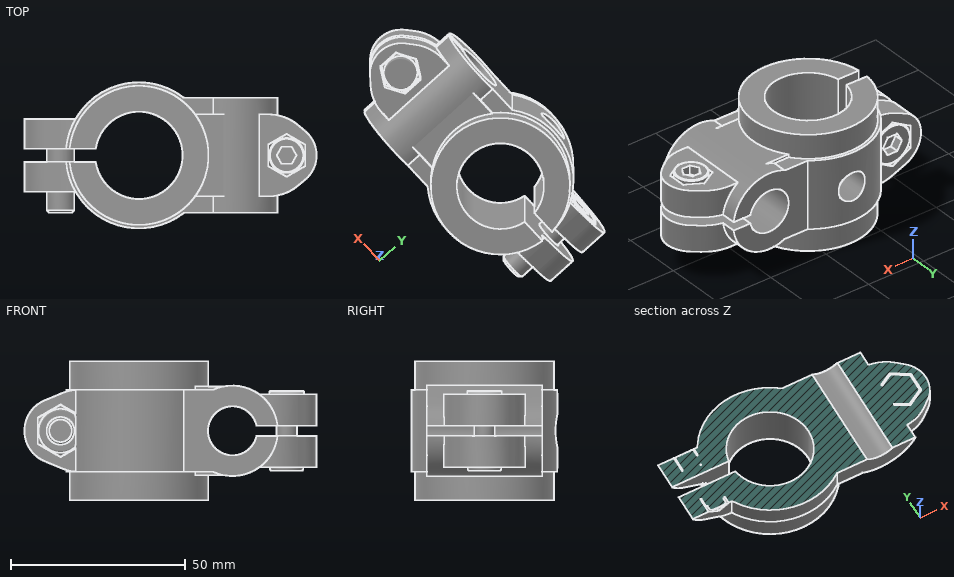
import cadquery as cq
import math

BORE_DIAMETER = 25.0
SLEEVE_DIAMETER = 40.0
SLEEVE_HEIGHT = 40.0
BAND_DIAMETER = 42.0
BAND_HEIGHT = 23.5
SLEEVE_SLIT = 3.8
BACK_HOLE_DIAMETER = 9.6

BARREL_X = 26.9
BARREL_DIAMETER = 26.0
BARREL_BORE = 14.0
BARREL_LENGTH = 33.1
BARREL_SLIT = 2.85
PAD_WIDTH = 23.5
PAD_HEIGHT = 25.5

EAR_THICKNESS = 21.0
EAR_ROOT_HALF_WIDTH = BAND_HEIGHT / 2
SLEEVE_EAR_REACH = 32.9
SLEEVE_EAR_TIP_RADIUS = 9.5
SLEEVE_EAR_BLEND_RADIUS = 12.9
SLEEVE_EAR_BLEND_X = 17.3
BARREL_EAR_REACH = 84.0 - SLEEVE_EAR_REACH
BARREL_EAR_TIP_RADIUS = 9.1
BARREL_EAR_BLEND_RADIUS = 12.9
BARREL_EAR_BLEND_X = 37.4

POCKET_DEPTH = 5.0
POCKET_FLOOR = EAR_THICKNESS / 2 - POCKET_DEPTH

SLEEVE_BOLT_X = -22.5
SLEEVE_BOLT_DIAMETER = 8.0
SLEEVE_BOLT_HOLE = 8.5
SLEEVE_BOLT_POCKET = 13.1
SLEEVE_BOLT_HEAD = 12.9
SLEEVE_NUT_HEX = 12.9
SLEEVE_NUT_COLLAR = 12.6
SLEEVE_BOLT_SOCKET = 6.0
SLEEVE_BOLT_TIP = 16.55
SLEEVE_BOLT_TIP_CHAMFER = 0.75
SLEEVE_BOLT_PROUD = 0.0
SLEEVE_HEAD_BEVEL = 0.25
SLEEVE_NUT_ROUNDING = 0.6

BARREL_BOLT_X = 42.4
BARREL_BOLT_DIAMETER = 6.0
BARREL_BOLT_HOLE = 6.6
BARREL_BOLT_POCKET = 10.7
BARREL_BOLT_HEAD = 10.0
BARREL_NUT_HEX = 10.0
BARREL_NUT_COLLAR = 9.6
BARREL_BOLT_SOCKET = 4.95
BARREL_BOLT_PROUD = 1.0
BARREL_BOLT_TIP = EAR_THICKNESS / 2 + BARREL_BOLT_PROUD
BARREL_HEAD_BEVEL = 0.25
BARREL_NUT_ROUNDING = 0.5

SOCKET_DEPTH = 3.0
NUT_COLLAR_HEIGHT = 2.0
NUT_CHAMFER_ANGLE = 30


def cylinder_along_z(diameter, height):
    return cq.Workplane("XY").circle(diameter / 2).extrude(height / 2, both=True)


def cylinder_along_y(diameter, length, x):
    return cq.Workplane("XZ").center(x, 0).circle(diameter / 2).extrude(length / 2, both=True)


def ear(plane, side, reach, tip_radius, blend_radius, blend_x):
    """Ear symmetric about X, pointing to +X (side 1) or -X (side -1), rooted at x = 0."""
    tip_center = reach - tip_radius
    blend_z = EAR_ROOT_HALF_WIDTH - blend_radius
    run = tip_center - blend_x
    spread = math.hypot(run, blend_z)
    flank_angle = math.atan2(-blend_z, run) + math.acos((blend_radius - tip_radius) / spread)

    def on_circle(center_x, center_z, radius, angle):
        return side * (center_x + radius * math.cos(angle)), center_z + radius * math.sin(angle)

    def mirrored(point):
        return point[0], -point[1]

    root = (0, EAR_ROOT_HALF_WIDTH)
    blend_start = (side * blend_x, EAR_ROOT_HALF_WIDTH)
    blend_middle = on_circle(blend_x, blend_z, blend_radius, (math.pi / 2 + flank_angle) / 2)
    blend_end = on_circle(blend_x, blend_z, blend_radius, flank_angle)
    tip_start = on_circle(tip_center, 0, tip_radius, flank_angle)
    return (
        cq.Workplane(plane)
        .moveTo(*root)
        .lineTo(*blend_start)
        .threePointArc(blend_middle, blend_end)
        .lineTo(*tip_start)
        .threePointArc((side * reach, 0), mirrored(tip_start))
        .lineTo(*mirrored(blend_end))
        .threePointArc(mirrored(blend_middle), mirrored(blend_start))
        .lineTo(*mirrored(root))
        .close()
        .extrude(EAR_THICKNESS / 2, both=True)
    )


def across_corners(across_flats):
    return across_flats / math.cos(math.pi / 6)


def hexagon(across_flats, start_z, depth):
    """Hexagonal prism along +Z with two corners on the X axis."""
    base = cq.Workplane("XY").workplane(offset=start_z)
    return base.polygon(6, across_corners(across_flats)).extrude(depth)


def quarter_turn(solid):
    return solid.rotate((0, 0, 0), (0, 0, 1), 90)


def bolt_space(hole, pocket):
    """Clearance hole along Z with a hexagonal pocket in both ear faces."""
    upper_pocket = quarter_turn(hexagon(pocket, POCKET_FLOOR, POCKET_DEPTH))
    lower_pocket = upper_pocket.mirror("XY")
    return cylinder_along_z(hole, EAR_THICKNESS).union(upper_pocket).union(lower_pocket)


def screw(diameter, head, head_bevel, socket, proud, tip, tip_chamfer=0):
    """Socket-head screw along Z, its head seated in the upper pocket and its tip at z = -tip."""
    head_height = POCKET_DEPTH + proud
    head_body = (
        cq.Workplane("XY").workplane(offset=POCKET_FLOOR).circle(head / 2).extrude(head_height)
        .faces(">Z").chamfer(head_bevel)
    )
    shank = (
        cq.Workplane("XY").workplane(offset=-tip).circle(diameter / 2).extrude(tip + POCKET_FLOOR)
    )
    if tip_chamfer > 0:
        shank = shank.faces("<Z").chamfer(tip_chamfer)
    socket_cut = hexagon(socket, POCKET_FLOOR + head_height - SOCKET_DEPTH, SOCKET_DEPTH)
    return shank.union(head_body).cut(socket_cut)


def nut(across_flats, collar, rounding, proud):
    """Lock nut seated in the lower pocket: a chamfered hexagon with a rounded collar on its end."""
    height = POCKET_DEPTH + proud
    hex_height = height - NUT_COLLAR_HEIGHT
    corner_diameter = across_corners(across_flats)
    chamfer_width = (corner_diameter - collar) / 2
    chamfer_height = chamfer_width * math.tan(math.radians(NUT_CHAMFER_ANGLE))
    corner_trim = (
        cq.Workplane("XZ")
        .moveTo(0, POCKET_FLOOR)
        .lineTo(corner_diameter / 2, POCKET_FLOOR)
        .lineTo(corner_diameter / 2, POCKET_FLOOR + hex_height - chamfer_height)
        .lineTo(collar / 2, POCKET_FLOOR + hex_height)
        .lineTo(0, POCKET_FLOOR + hex_height)
        .close()
        .revolve(360, (0, 0, 0), (0, 1, 0))
    )
    hex_body = quarter_turn(hexagon(across_flats, POCKET_FLOOR, hex_height)).intersect(corner_trim)
    collar_body = (
        cq.Workplane("XY").workplane(offset=POCKET_FLOOR).circle(collar / 2).extrude(height)
        .faces(">Z").edges().fillet(rounding)
    )
    return hex_body.union(collar_body).mirror("XY")


def on_sleeve_ear(local):
    """Turn a Z-axis fastener so that its head faces +Y, and place it on the sleeve ear."""
    return local.rotate((0, 0, 0), (1, 0, 0), -90).translate((SLEEVE_BOLT_X, 0, 0))


def on_barrel_ear(local):
    return local.translate((BARREL_BOLT_X, 0, 0))


sleeve_ear = ear(
    "XZ", -1, SLEEVE_EAR_REACH, SLEEVE_EAR_TIP_RADIUS, SLEEVE_EAR_BLEND_RADIUS, SLEEVE_EAR_BLEND_X
)
barrel_ear = ear(
    "XY", 1, BARREL_EAR_REACH, BARREL_EAR_TIP_RADIUS, BARREL_EAR_BLEND_RADIUS, BARREL_EAR_BLEND_X
)
sleeve_ear = sleeve_ear.cut(on_sleeve_ear(bolt_space(SLEEVE_BOLT_HOLE, SLEEVE_BOLT_POCKET)))
barrel_ear = barrel_ear.cut(on_barrel_ear(bolt_space(BARREL_BOLT_HOLE, BARREL_BOLT_POCKET)))

arm = cq.Workplane("XY").box(BARREL_X, BARREL_LENGTH, BAND_HEIGHT, centered=(False, True, True))
pad = cq.Workplane("XY").box(BARREL_X, PAD_WIDTH, PAD_HEIGHT, centered=(False, True, True))

body = cylinder_along_z(SLEEVE_DIAMETER, SLEEVE_HEIGHT)
body = body.union(cylinder_along_z(BAND_DIAMETER, BAND_HEIGHT))
body = body.union(cylinder_along_y(BARREL_DIAMETER, BARREL_LENGTH, BARREL_X))
body = body.union(arm).union(pad).union(sleeve_ear).union(barrel_ear)

body = body.cut(cylinder_along_z(BORE_DIAMETER, SLEEVE_HEIGHT))
body = body.cut(cylinder_along_y(BARREL_BORE, BARREL_LENGTH, BARREL_X))

back_hole = cq.Workplane("XZ").circle(BACK_HOLE_DIAMETER / 2).extrude(-BAND_DIAMETER / 2)
body = body.cut(back_hole)

sleeve_slit = cq.Workplane("XY").box(SLEEVE_EAR_REACH, SLEEVE_SLIT, SLEEVE_HEIGHT)
body = body.cut(sleeve_slit.translate((-SLEEVE_EAR_REACH / 2, 0, 0)))
barrel_slit = cq.Workplane("XY").box(
    BARREL_EAR_REACH - BARREL_X, BARREL_LENGTH, BARREL_SLIT, centered=(False, True, True)
)
body = body.cut(barrel_slit.translate((BARREL_X, 0, 0)))

sleeve_screw = screw(
    SLEEVE_BOLT_DIAMETER, SLEEVE_BOLT_HEAD, SLEEVE_HEAD_BEVEL, SLEEVE_BOLT_SOCKET,
    SLEEVE_BOLT_PROUD, SLEEVE_BOLT_TIP, SLEEVE_BOLT_TIP_CHAMFER,
)
barrel_screw = screw(
    BARREL_BOLT_DIAMETER, BARREL_BOLT_HEAD, BARREL_HEAD_BEVEL, BARREL_BOLT_SOCKET,
    BARREL_BOLT_PROUD, BARREL_BOLT_TIP,
)
sleeve_nut = nut(SLEEVE_NUT_HEX, SLEEVE_NUT_COLLAR, SLEEVE_NUT_ROUNDING, SLEEVE_BOLT_PROUD)
barrel_nut = nut(BARREL_NUT_HEX, BARREL_NUT_COLLAR, BARREL_NUT_ROUNDING, BARREL_BOLT_PROUD)
sleeve_fastener = sleeve_screw.union(sleeve_nut)
barrel_fastener = barrel_screw.union(barrel_nut)
result = body.union(on_sleeve_ear(sleeve_fastener)).union(on_barrel_ear(barrel_fastener))